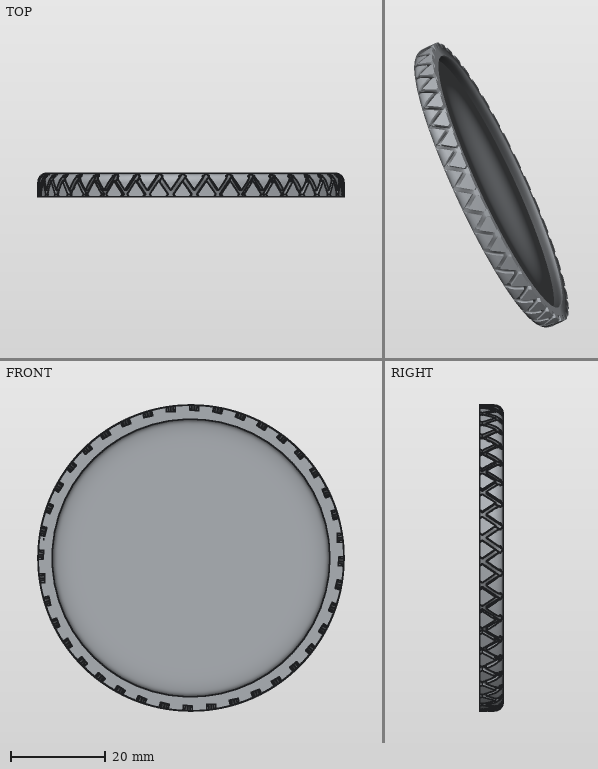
import cadquery as cq
import math

outer_diameter = 65.0
thickness = 5.0
back_edge_radius = 2.0
recess_diameter = 59.0
recess_depth = 2.0

groove_count = 40
groove_width = 0.95
groove_depth = 1.25
valley_height = 0.55
peak_height = 4.25
valley_overrun = 1.5
peak_overrun = 0.5
cutter_clearance = 1.0
first_peak_angle = 5.85

outer_radius = outer_diameter / 2
pitch_angle = 360.0 / groove_count
arm_run = outer_radius * math.radians(pitch_angle / 2)
arm_rise = peak_height - valley_height
arm_length = math.hypot(arm_run, arm_rise)
arm_tilt = math.degrees(math.atan2(arm_rise, arm_run))


def make_body():
    """Disc with a rounded back edge and a shallow recess in its open face."""
    disc = cq.Workplane("XY").circle(outer_radius).extrude(thickness)
    disc = disc.faces(">Z").edges().fillet(back_edge_radius)
    recess = cq.Workplane("XY").circle(recess_diameter / 2).extrude(recess_depth)
    return disc.cut(recess).rotate((0, 0, 0), (1, 0, 0), -90)


def make_arm_cutter(side):
    """Straight flat-bottomed cutter rising from the valley toward +X (side 1) or -X (side -1)."""
    length = arm_length + valley_overrun + peak_overrun
    height = groove_depth + cutter_clearance
    cutter = cq.Workplane("XY").box(length, groove_width, height, centered=(False, True, False))
    cutter = cutter.translate((-valley_overrun, 0, 0))
    tilt = arm_tilt if side > 0 else 180 - arm_tilt
    return cutter.rotate((0, 0, 0), (0, 0, 1), tilt)


def make_v_cutter():
    """Two coplanar arms crossing at the valley, with the floor square to the radius at the +X peak."""
    v_cutter = make_arm_cutter(1).union(make_arm_cutter(-1)).clean()
    return v_cutter.translate((-arm_run, valley_height, outer_radius - groove_depth))


def cut_grip(body):
    """Cut one V per pitch, so that neighbouring Vs meet at the peaks."""
    v_cutter = make_v_cutter()
    cutters = []
    for index in range(groove_count):
        angle = first_peak_angle + index * pitch_angle
        cutters.append(v_cutter.rotate((0, 0, 0), (0, 1, 0), angle).val())
    return cq.Workplane(obj=body.val().cut(*cutters))


result = cut_grip(make_body()).translate((0, -thickness / 2, 0))